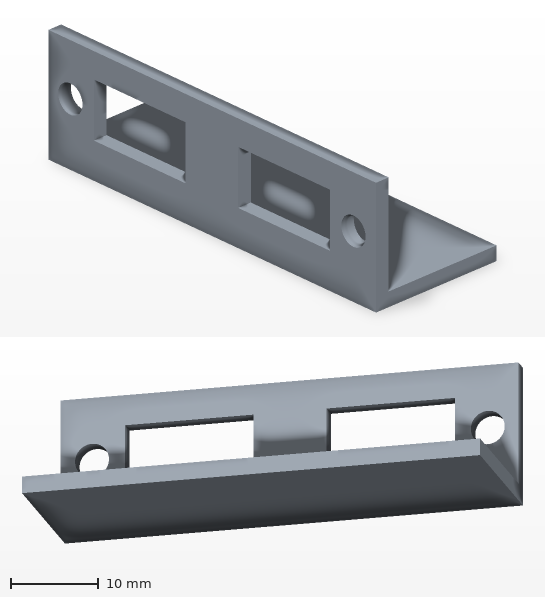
import cadquery as cq

length = 54.0
depth = 19.0
height = 16.5
thickness = 2.0

opening_height = 9.0
middle_x = 26.95
window_width = 15.1
window_height = 7.8
window_spacing = 23.75
hole_diameter = 4.0
hole_spacing = 46.65


def block(size_x, size_y, size_z):
    """Box with its lower front left corner at the origin."""
    return cq.Workplane("XY").box(size_x, size_y, size_z, centered=False)


def pair_on_upright(spacing):
    """Front-face workplane holding two points either side of the middle."""
    half = spacing / 2
    return cq.Workplane("XZ").pushPoints(
        [(middle_x - half, opening_height), (middle_x + half, opening_height)]
    )


base_leg = block(length, depth, thickness)
upright_leg = block(length, thickness, height)

windows = pair_on_upright(window_spacing).rect(window_width, window_height).extrude(-thickness)
holes = pair_on_upright(hole_spacing).circle(hole_diameter / 2).extrude(-thickness)

result = base_leg.union(upright_leg).cut(windows).cut(holes)